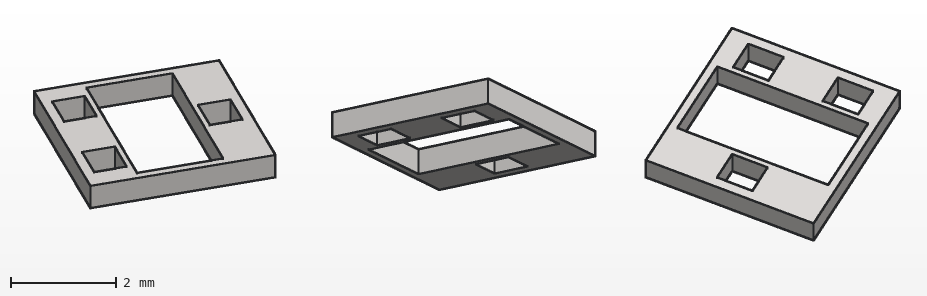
import cadquery as cq

plate_width = 3.56
plate_length = 3.69
plate_thickness = 0.5

window_width = 3.2
window_length = 1.712

opening_width = 0.75
opening_length = 0.65
opening_row_offset = 1.303
front_opening_spacing = 1.9

opening_centers = [
    (0, opening_row_offset),
    (-front_opening_spacing / 2, -opening_row_offset),
    (front_opening_spacing / 2, -opening_row_offset),
]

plate = cq.Workplane("XY").box(plate_width, plate_length, plate_thickness)

framed_plate = plate.faces(">Z").workplane().rect(window_width, window_length).cutThruAll()
result = (
    framed_plate.faces(">Z")
    .workplane(origin=(0, 0, 0))
    .pushPoints(opening_centers)
    .rect(opening_width, opening_length)
    .cutThruAll()
)